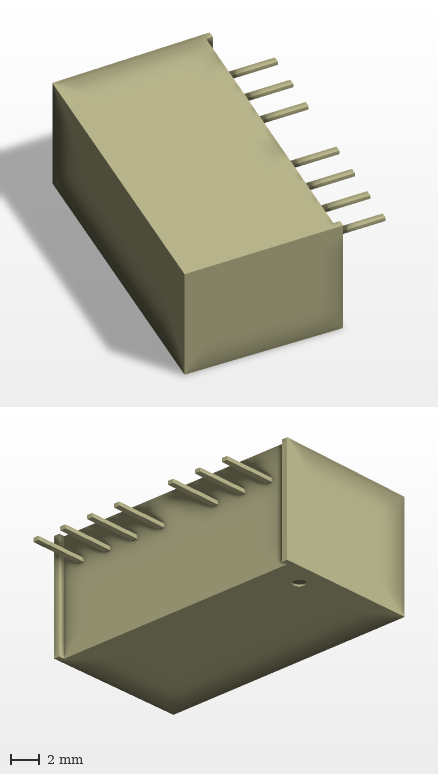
import cadquery as cq

housing_width = 22.0
housing_height = 9.5
overall_depth = 16.1
pin_reach = 4.1
housing_depth = overall_depth - pin_reach
taper_inset = 0.1

tab_width = 0.5
tab_depth = 0.5
rear_face_y = housing_depth - tab_depth

pin_row_span = 17.78
pin_positions = 8
empty_position = 3
pin_pitch = pin_row_span / (pin_positions - 1)
pin_width = 0.48
pin_thickness = 0.3
pin_z = 2.27
pin_length = pin_reach + tab_depth

mark_diameter = 1.0
mark_x = -9.15
mark_y = 8.8
mark_depth = 0.2


def make_housing():
    """Build the tapered block with its rear tabs and the round recess in its underside."""
    block = (
        cq.Workplane("XZ", origin=(0, housing_depth, 0))
        .rect(housing_width, housing_height)
        .workplane(offset=housing_depth)
        .rect(housing_width - 2 * taper_inset, housing_height - 2 * taper_inset)
        .loft(ruled=True, combine=True)
    )
    rear_notch = cq.Workplane("XY").box(
        housing_width - 2 * tab_width, tab_depth, housing_height, centered=(True, False, True)
    ).translate((0, rear_face_y, 0))
    mark = (
        cq.Workplane("XY", origin=(mark_x, mark_y, -housing_height / 2))
        .circle(mark_diameter / 2)
        .extrude(mark_depth)
    )
    return block.cut(rear_notch).cut(mark)


def make_pin(x):
    """Build one straight pin that stands on the rear face."""
    return (
        cq.Workplane("XY")
        .box(pin_width, pin_length, pin_thickness, centered=(True, False, True))
        .translate((x, rear_face_y, pin_z))
    )


housing = make_housing()

first_pin_x = -pin_row_span / 2
pins = []
for position in range(pin_positions):
    if position != empty_position:
        pins.append(make_pin(first_pin_x + position * pin_pitch))

result = cq.Compound.makeCompound([housing.val(), *[pin.val() for pin in pins]])